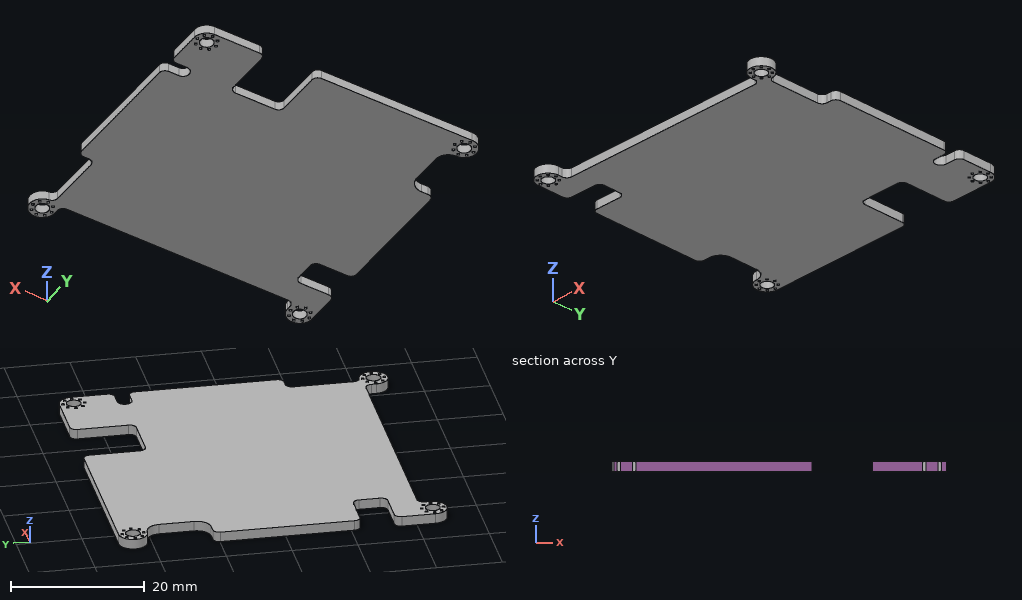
import cadquery as cq
import math

side = 50.0
thickness = 1.6
half = side / 2
corner_radius = 1.0

pad_radius = 2.2
pad_center = half - pad_radius
pad_inner = pad_center - pad_radius
mount_hole_diameter = 2.2
via_diameter = 0.4
via_circle_radius = 1.65
via_count = 8

top_notch_left = 4.9
top_notch_right = 13.85
top_notch_floor = 15.25

slot_end = 21.05
slot_center_y = 15.2
slot_width = 2.2
slot_top = slot_center_y + slot_width / 2
slot_bottom = slot_center_y - slot_width / 2

step_x = 22.1
step_top = -9.45

large_notch_floor = -pad_inner
large_notch_bottom = 10.9
large_notch_radius = pad_radius
small_notch_floor = -18.1
small_notch_top = -11.5
small_notch_bottom = -16.7

bottom_edge = -21.05


def block(left, right, bottom, top):
    """Rectangular block through the full thickness."""
    return (
        cq.Workplane("XY")
        .box(right - left, top - bottom, thickness, centered=False)
        .translate((left, bottom, 0))
    )


def pad_disc(x, y):
    """Disc of a mounting pad centred at (x, y)."""
    return cq.Workplane("XY").center(x, y).circle(pad_radius).extrude(thickness)


def round_corners(body, points, radius):
    """Fillet the vertical edges that stand at the given (x, y) points."""
    edges = cq.Workplane("XY")
    for x, y in points:
        edges = edges.add(body.edges(cq.NearestToPointSelector((x, y, thickness / 2))))
    return body.newObject(edges.vals()).fillet(radius)


plate = block(-half, half, -half, half)
plate = plate.cut(block(top_notch_left, top_notch_right, top_notch_floor, half))
plate = plate.cut(block(slot_end + slot_width / 2, half, slot_bottom, slot_top))
plate = plate.cut(block(step_x, half, -half, step_top))
plate = plate.cut(block(-half, large_notch_floor, large_notch_bottom, pad_inner))
plate = plate.cut(block(-half, small_notch_floor, small_notch_bottom, small_notch_top))
plate = plate.cut(block(-pad_inner, half, -half, bottom_edge))

plate = plate.union(pad_disc(pad_center, -pad_center))
plate = plate.union(block(pad_inner, pad_center, -pad_center, bottom_edge))

slot_round = (
    cq.Workplane("XY")
    .center(slot_end + slot_width / 2, slot_center_y)
    .circle(slot_width / 2)
    .extrude(thickness)
)
plate = plate.cut(slot_round)

notch_corners = [
    (top_notch_left, half),
    (top_notch_left, top_notch_floor),
    (top_notch_right, top_notch_floor),
    (top_notch_right, half),
    (half, slot_top),
    (half, slot_bottom),
    (half, step_top),
    (step_x, step_top),
    (pad_inner, bottom_edge),
    (-pad_inner, bottom_edge),
    (-half, small_notch_bottom),
    (small_notch_floor, small_notch_bottom),
    (small_notch_floor, small_notch_top),
    (-half, small_notch_top),
    (-half, large_notch_bottom),
]
plate = round_corners(plate, notch_corners, corner_radius)

large_notch_corners = [(large_notch_floor, large_notch_bottom), (large_notch_floor, pad_inner)]
plate = round_corners(plate, large_notch_corners, large_notch_radius)

crease_y = -pad_center + math.sqrt(pad_radius**2 - (pad_center - step_x) ** 2)
plate = round_corners(plate, [(step_x, crease_y)], corner_radius)

upper_right_end = block(pad_center, half, pad_center, half)
upper_left_end = block(-half, -pad_center, pad_inner, half)
lower_left_end = block(-half, -pad_inner, -half, -pad_center)
plate = plate.cut(upper_right_end.cut(pad_disc(pad_center, pad_center)))
plate = plate.cut(upper_left_end.cut(pad_disc(-pad_center, pad_center)))
plate = plate.cut(lower_left_end.cut(pad_disc(-pad_center, -pad_center)))

pad_centers = [(x * pad_center, y * pad_center) for x in (-1, 1) for y in (-1, 1)]
mount_holes = cq.Workplane("XY").pushPoints(pad_centers).circle(mount_hole_diameter / 2)
plate = plate.cut(mount_holes.extrude(thickness))
for center in pad_centers:
    vias = (
        cq.Workplane("XY")
        .center(*center)
        .polarArray(via_circle_radius, 0, 360, via_count)
        .circle(via_diameter / 2)
        .extrude(thickness)
    )
    plate = plate.cut(vias)

result = plate